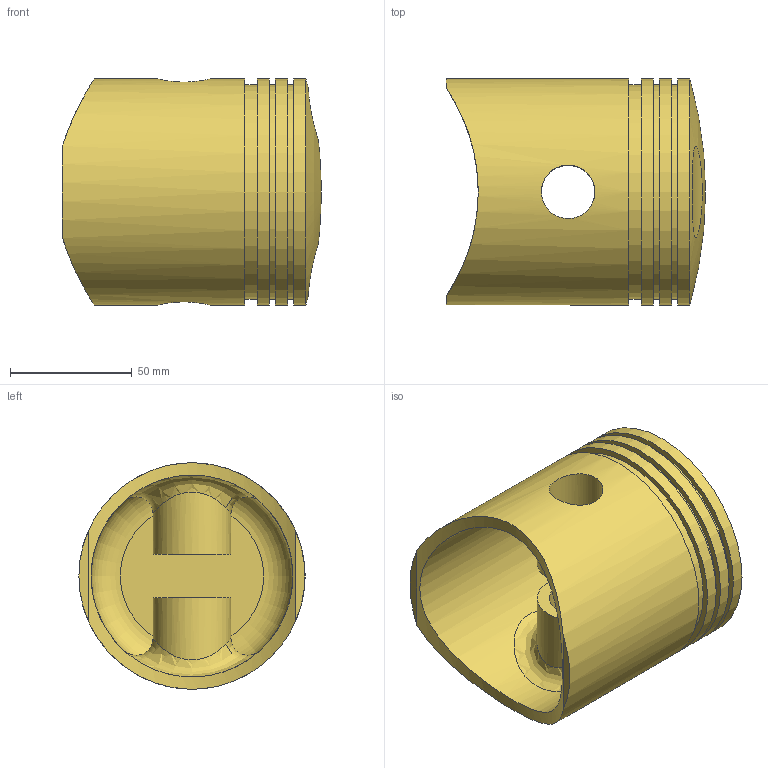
import cadquery as cq
import math

BODY_RADIUS = 46.5
BODY_LENGTH = 100.0
CROWN_HEIGHT = 6.48

WALL = 5.0
CAVITY_RADIUS = BODY_RADIUS - WALL
CAVITY_DEPTH = BODY_LENGTH - WALL
CAVITY_CORNER_RADIUS = 12.0

GROOVE_DEPTH = 2.5
RING_GROOVES = [(75.0, 5.0), (85.0, 2.5), (92.5, 2.5)]

PIN_X = 50.0
PIN_DIAMETER = 22.0
BOSS_DIAMETER = 32.0
BOSS_GAP = 17.8
BOSS_FILLET = 7.0

SKIRT_RELIEF_DEPTH = 13.0
SKIRT_RELIEF_HALF_WIDTH = 42.5

SCOOP_INNER_Z = 21.5
SCOOP_OUTER_Z = 42.9
SCOOP_SAG = 0.69

CROWN_RADIUS = (BODY_RADIUS**2 + CROWN_HEIGHT**2) / (2 * CROWN_HEIGHT)
CUT_LENGTH = 4 * BODY_RADIUS


def crown_x(distance):
    """X of the spherical crown at a given distance from the piston axis."""
    centre_x = BODY_LENGTH + CROWN_HEIGHT - CROWN_RADIUS
    return centre_x + math.sqrt(CROWN_RADIUS**2 - distance**2)


def make_domed_body():
    """Solid of revolution: plain cylinder with a spherical crown."""
    middle = BODY_RADIUS / 2
    profile = (
        cq.Workplane("XY")
        .lineTo(0, BODY_RADIUS)
        .lineTo(BODY_LENGTH, BODY_RADIUS)
        .threePointArc((crown_x(middle), middle), (crown_x(0), 0))
        .close()
    )
    return profile.revolve(360, (0, 0, 0), (1, 0, 0))


def make_cavity():
    """Blind cylindrical cavity with a rounded corner at its floor."""
    cavity = cq.Workplane("YZ").circle(CAVITY_RADIUS).extrude(CAVITY_DEPTH)
    return cavity.faces(">X").edges().fillet(CAVITY_CORNER_RADIUS)


def make_boss(side):
    """Pin boss from the central gap into the wall; side is +1 or -1 along Z."""
    outer_z_at_side = math.sqrt(BODY_RADIUS**2 - (BOSS_DIAMETER / 2) ** 2)
    boss_end = (CAVITY_RADIUS + outer_z_at_side) / 2
    start = BOSS_GAP / 2
    boss = cq.Workplane("XY").center(PIN_X, 0).circle(BOSS_DIAMETER / 2).extrude(side * (boss_end - start))
    return boss.translate((0, 0, side * start))


def add_bosses(body):
    """Join both bosses to the wall and round the joints."""
    for side in (1, -1):
        body = body.union(make_boss(side))
    return body.edges("%BSPLINE").fillet(BOSS_FILLET)


def make_ring_groove(start, width):
    """Annular cutter for one ring groove."""
    return (
        cq.Workplane("YZ", origin=(start, 0, 0))
        .circle(BODY_RADIUS + GROOVE_DEPTH)
        .circle(BODY_RADIUS - GROOVE_DEPTH)
        .extrude(width)
    )


def make_pin_bore():
    """Bore straight through both bosses and the walls."""
    return cq.Workplane("XY").center(PIN_X, 0).circle(PIN_DIAMETER / 2).extrude(CUT_LENGTH / 2, both=True)


def make_skirt_relief():
    """Cylinder along Z that hollows the skirt end."""
    radius = (SKIRT_RELIEF_HALF_WIDTH**2 + SKIRT_RELIEF_DEPTH**2) / (2 * SKIRT_RELIEF_DEPTH)
    return (
        cq.Workplane("XY")
        .center(SKIRT_RELIEF_DEPTH - radius, 0)
        .circle(radius)
        .extrude(CUT_LENGTH / 2, both=True)
    )


def make_crown_scoop(side):
    """Concave cut along Y, between two points of the crown; side is +1 or -1 along Z."""
    inner_x = crown_x(SCOOP_INNER_Z)
    outer_x = crown_x(SCOOP_OUTER_Z)
    slope = math.atan2(inner_x - outer_x, SCOOP_OUTER_Z - SCOOP_INNER_Z)
    middle_x = (inner_x + outer_x) / 2 - SCOOP_SAG * math.cos(slope)
    middle_z = (SCOOP_INNER_Z + SCOOP_OUTER_Z) / 2 - SCOOP_SAG * math.sin(slope)
    clear_x = BODY_LENGTH + 2 * CROWN_HEIGHT
    return (
        cq.Workplane("XZ")
        .moveTo(inner_x, side * SCOOP_INNER_Z)
        .threePointArc((middle_x, side * middle_z), (outer_x, side * SCOOP_OUTER_Z))
        .lineTo(clear_x, side * SCOOP_OUTER_Z)
        .lineTo(clear_x, side * SCOOP_INNER_Z)
        .close()
        .extrude(CUT_LENGTH / 2, both=True)
    )


piston = add_bosses(make_domed_body().cut(make_cavity()))
piston = piston.cut(make_pin_bore())
piston = piston.cut(make_skirt_relief())
for groove_start, groove_width in RING_GROOVES:
    piston = piston.cut(make_ring_groove(groove_start, groove_width))
for crown_side in (1, -1):
    piston = piston.cut(make_crown_scoop(crown_side))

result = piston